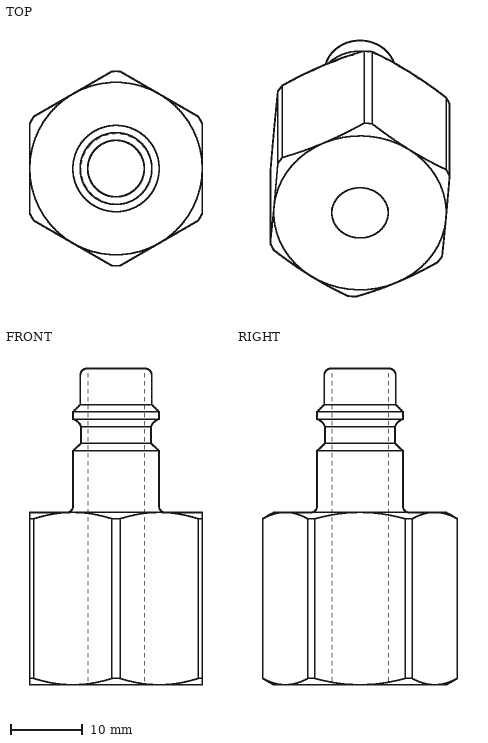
import cadquery as cq
import math

total_height = 44.0
across_flats = 24.0
across_corners = 27.05
hex_height = 24.0
chamfer_angle = 30.0

bore_diameter = 7.85
tip_diameter = 10.0
groove_diameter = 9.75
body_diameter = 12.0

root_radius = 0.8
body_top = 32.5
groove_bottom = 33.55
groove_top = 35.85
collar_bottom = 36.9
collar_top = 37.95
tip_bottom = 38.95
tip_radius = 1.0
collar_root_radius = 1.55


def make_hexagon():
    """Hexagon with turned corners, two flats square to X, chamfered at both ends."""
    prism = (
        cq.Workplane("XY")
        .polygon(6, across_flats, circumscribed=True)
        .extrude(hex_height)
    )
    face_radius = across_flats / 2
    corner_radius = across_corners / 2
    chamfer_drop = (corner_radius - face_radius) * math.tan(math.radians(chamfer_angle))
    turned_envelope = (
        cq.Workplane("XZ")
        .lineTo(face_radius, 0)
        .lineTo(corner_radius, chamfer_drop)
        .lineTo(corner_radius, hex_height - chamfer_drop)
        .lineTo(face_radius, hex_height)
        .lineTo(0, hex_height)
        .close()
        .revolve(360, (0, 0, 0), (0, 1, 0))
    )
    return prism.intersect(turned_envelope)


def make_plug():
    """Turned plug with a root fillet, locking groove, collar and rounded tip."""
    body = body_diameter / 2
    groove = groove_diameter / 2
    tip = tip_diameter / 2
    return (
        cq.Workplane("XZ")
        .moveTo(0, hex_height)
        .lineTo(body + root_radius, hex_height)
        .radiusArc((body, hex_height + root_radius), root_radius)
        .lineTo(body, body_top)
        .lineTo(groove, groove_bottom)
        .lineTo(groove, groove_top)
        .radiusArc((body, collar_bottom), collar_root_radius)
        .lineTo(body, collar_top)
        .lineTo(tip, tip_bottom)
        .lineTo(tip, total_height - tip_radius)
        .radiusArc((tip - tip_radius, total_height), -tip_radius)
        .lineTo(0, total_height)
        .close()
        .revolve(360, (0, 0, 0), (0, 1, 0))
    )


bore = cq.Workplane("XY").circle(bore_diameter / 2).extrude(total_height)
result = make_hexagon().union(make_plug()).cut(bore)